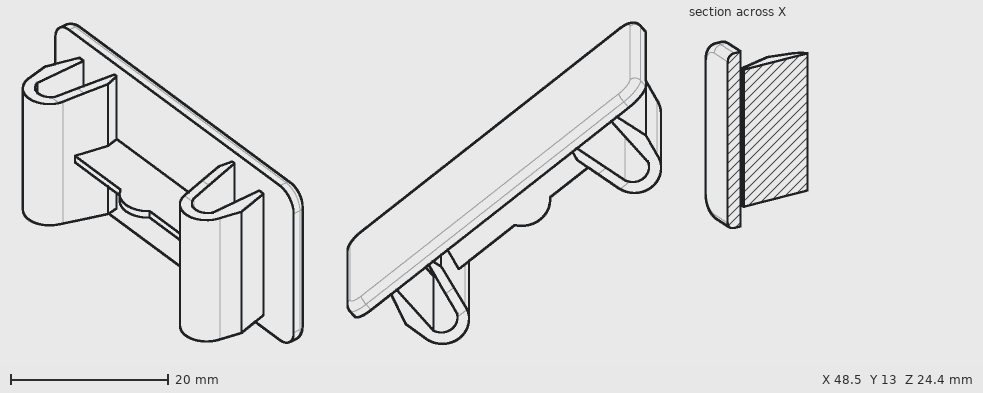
import cadquery as cq

plate_length = 48.5
plate_height = 24.4
plate_thickness = 2.0
corner_radius = 2.8
back_edge_radius = 0.95

total_depth = 12.95
clip_depth = total_depth - plate_thickness
clip_height = 19.15
bend_x = -15.9
bend_inner_radius = 1.95
bend_wall = 1.6
bend_inner_depth = clip_depth - bend_wall
bend_start_depth = 8.05

arm_gap = 0.5
arm_tip_width = 0.85
arm_inner_x = bend_x - bend_inner_radius
arm_knee = (-20.0, -5.1)
arm_bend_x = -19.35

leg_root_outer_x = -12.22
leg_root_inner_x = -11.75
leg_knee = (-11.3, -1.8)
leg_bend_x = -12.6
leg_bend_inner_x = -14.0

leg_root_height = 20.85
leg_middle_height = 19.9
leg_middle_depth = 5.1
leg_taper_depth = 8.6

rib_thickness = 1.0
rib_depth = 6.4
nose_depth = 7.9
nose_half_width = 2.95

joint_overlap = 0.25


def extrude_centered(outline, height):
    """Extrude an XY outline equally above and below Z = 0."""
    return outline.extrude(height / 2, both=True)


def make_plate():
    plate = (
        cq.Workplane("XY")
        .box(plate_length, plate_thickness, plate_height)
        .translate((0, plate_thickness / 2, 0))
        .edges("|Y")
        .fillet(corner_radius)
    )
    return plate.faces(">Y").edges().fillet(back_edge_radius)


def clip_outline():
    """Closed U-shaped XY outline of the left clip."""
    return (
        cq.Workplane("XY")
        .moveTo(arm_inner_x - arm_tip_width, -arm_gap)
        .lineTo(*arm_knee)
        .lineTo(arm_bend_x, -bend_start_depth)
        .threePointArc((bend_x, -clip_depth), (leg_bend_x, -bend_start_depth))
        .lineTo(*leg_knee)
        .lineTo(leg_root_inner_x, 0)
        .lineTo(leg_root_inner_x, joint_overlap)
        .lineTo(leg_root_outer_x, joint_overlap)
        .lineTo(leg_root_outer_x, 0)
        .lineTo(leg_bend_inner_x, -bend_start_depth)
        .threePointArc((bend_x, -bend_inner_depth), (arm_inner_x, -bend_start_depth))
        .lineTo(arm_inner_x, -arm_gap)
        .close()
    )


def make_leg_envelope():
    """Tapered block spanning the leg side of the clip, as a YZ outline run along X."""
    half_root = leg_root_height / 2
    half_middle = leg_middle_height / 2
    half_clip = clip_height / 2
    outline = cq.Workplane("YZ", origin=(bend_x, 0, 0)).polyline([
        (joint_overlap, -half_root),
        (0, -half_root),
        (-leg_middle_depth, -half_middle),
        (-leg_taper_depth, -half_clip),
        (-leg_taper_depth, half_clip),
        (-leg_middle_depth, half_middle),
        (0, half_root),
        (joint_overlap, half_root),
    ]).close()
    return outline.extrude(-bend_x)


def make_clip():
    hook = extrude_centered(clip_outline(), clip_height)
    tall_hook = extrude_centered(clip_outline(), leg_root_height)
    return hook.union(tall_hook.intersect(make_leg_envelope()))


def make_rib():
    slope = (leg_knee[0] - leg_bend_x) / (leg_knee[1] + bend_start_depth)
    front_end_x = -leg_knee[0] + slope * (rib_depth + leg_knee[1]) + joint_overlap
    root_end_x = -leg_root_inner_x
    outline = (
        cq.Workplane("XY")
        .moveTo(-root_end_x, joint_overlap)
        .lineTo(-root_end_x, 0)
        .lineTo(leg_knee[0] - joint_overlap, leg_knee[1])
        .lineTo(-front_end_x, -rib_depth)
        .lineTo(-nose_half_width, -rib_depth)
        .threePointArc((0, -nose_depth), (nose_half_width, -rib_depth))
        .lineTo(front_end_x, -rib_depth)
        .lineTo(-leg_knee[0] + joint_overlap, leg_knee[1])
        .lineTo(root_end_x, 0)
        .lineTo(root_end_x, joint_overlap)
        .close()
    )
    return extrude_centered(outline, rib_thickness)


clip = make_clip()
result = make_plate().union(clip).union(clip.mirror("YZ")).union(make_rib())